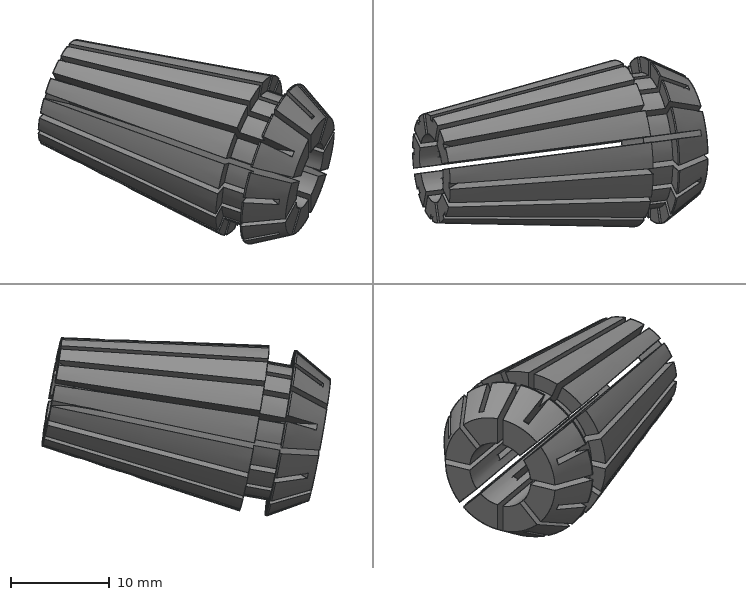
import cadquery as cq
import math

length = 27.5
max_radius = 8.5
bore_radius = 3.5

front_taper_end = 20.8
front_taper_angle = 8.0
groove_end = 23.48
groove_radius = 6.9
land_width = 0.16
rear_taper_angle = 30.0

slots_per_set = 8
slot_width = 0.6
front_bridge_radius = 5.17
front_bridge_end = 2.15
rear_slot_end = 26.78
rear_ramp_angle = 32.0
blade_radius = 60.5

slot_pitch = 360.0 / slots_per_set
land_end = groove_end + land_width
rear_slope = math.tan(math.radians(rear_taper_angle))
front_radius = max_radius - front_taper_end * math.tan(math.radians(front_taper_angle))
rear_radius = max_radius - (length - land_end) * rear_slope
rear_ramp_top = max_radius - (rear_slot_end - land_end) * rear_slope

slot_top = max_radius + 0.28
slot_bottom = bore_radius - 0.55
overrun = 0.28


def collet_body():
    """Revolved sleeve with the tapers, the groove and the plain bore."""
    return (
        cq.Workplane("XY")
        .moveTo(0, bore_radius)
        .lineTo(0, front_radius)
        .lineTo(front_taper_end, max_radius)
        .lineTo(front_taper_end, groove_radius)
        .lineTo(groove_end, groove_radius)
        .lineTo(groove_end, max_radius)
        .lineTo(land_end, max_radius)
        .lineTo(length, rear_radius)
        .lineTo(length, bore_radius)
        .close()
        .revolve(360, (0, 0, 0), (1, 0, 0))
    )


def cut_slots(body, cutter, first_angle):
    """Cut one evenly spaced set of slots around the X axis."""
    for index in range(slots_per_set):
        angle = first_angle + index * slot_pitch
        body = body.cut(cutter.rotate((0, 0, 0), (1, 0, 0), angle))
    return body


rear_open_slot = (
    cq.Workplane("XZ")
    .moveTo(0, front_bridge_radius)
    .radiusArc((front_bridge_end, bore_radius), -blade_radius)
    .lineTo(front_bridge_end, slot_bottom)
    .lineTo(length + overrun, slot_bottom)
    .lineTo(length + overrun, slot_top)
    .lineTo(0, slot_top)
    .close()
    .extrude(slot_width / 2, both=True)
)

rear_ramp_run = (rear_ramp_top - bore_radius) / math.tan(math.radians(rear_ramp_angle))
rear_ramp_start = rear_slot_end - rear_ramp_run
front_open_slot = (
    cq.Workplane("XZ")
    .moveTo(-overrun, slot_top)
    .lineTo(-overrun, slot_bottom)
    .lineTo(rear_ramp_start, slot_bottom)
    .lineTo(rear_ramp_start, bore_radius)
    .radiusArc((rear_slot_end, rear_ramp_top), -blade_radius)
    .lineTo(rear_slot_end, slot_top)
    .close()
    .extrude(slot_width / 2, both=True)
)

result = collet_body()
result = cut_slots(result, rear_open_slot, 0.0)
result = cut_slots(result, front_open_slot, slot_pitch / 2)